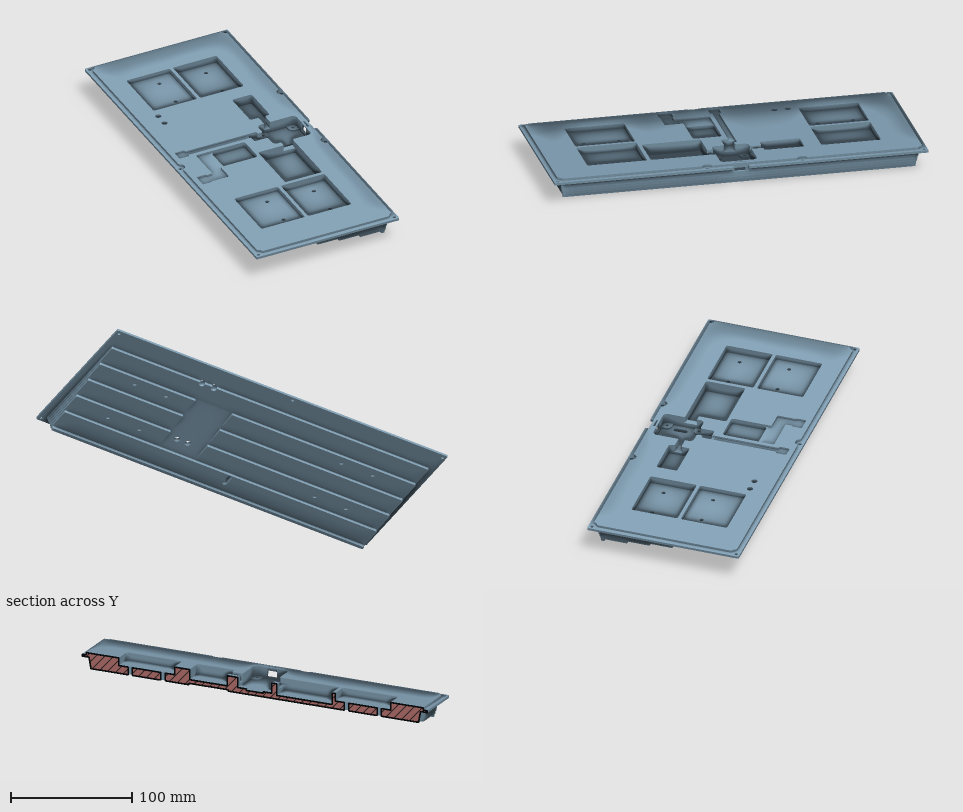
import cadquery as cq

length = 317.2
width = 132.0
total_height = 18.7
rim_thickness = 2.0
lip_height = 2.0
lip_inset = 3.8
top_z = rim_thickness + lip_height
half_length = length / 2
half_width = width / 2
outer_corner_radius = 1.0

step_count = 6
step_height = (total_height - top_z) / step_count
step_run = 20.0
first_step_inset = 6.5
step_inset_growth = 0.55

screw_edge = 3.2
screw_diameter = 2.7
screw_relief_radius = 4.0
relief_blend_radius = 1.5
back_screw_x = (-52.5, 28.5)
front_screw_x = 11.5

bay_length = 50.8
bay_width = 40.3
bay_center_x = 99.3
bay_pitch = 43.0
back_bay_y = 18.7
back_bay_depth = 6.7
front_bay_depth = 4.5
bay_hole_diameter = 3.5
bay_hole_spacing = 30.0
bay_hole_offset = 5.5

square_length = 31.5
square_width = 35.2
square_back_y = 56.8
square_depth = 10.0
square_corner_radius = 3.8
standoff_size = 8.0
standoff_height = 1.3
standoff_inner_radius = 4.5
standoff_hole_diameter = 2.3
standoff_hole_spacing_x = 23.8
standoff_hole_spacing_y = 27.5
floor_slot_x = 9.8
floor_slot_y = 40.5
floor_slot_length = 12.0
floor_slot_width = 4.0
square_y = square_back_y - square_width / 2
square_front_y = square_y - square_width / 2
square_right_x = square_length / 2
square_floor_z = top_z - square_depth

notch_width = 12.7
window_width = 9.2
window_roof = 1.0
window_sill = 1.5
card_slot_front_y = 58.5
card_slot_thickness = 1.5

shared_back_y = 38.7
link_front_y = 28.2
pocket_radius = 1.5
right_pocket_left_x = 20.5
right_pocket_right_x = 70.7
right_pocket_front_y = 4.5
right_pocket_depth = 10.0
right_link_depth = 5.7
left_pocket_left_x = -59.5
left_pocket_right_x = -25.7
left_pocket_front_y = 20.5
left_pocket_depth = 9.0
left_link_back_y = 34.0
left_link_depth = 6.5
mouth_radius = 1.5

recess_left_x = -60.3
recess_width = 35.5
recess_first_step = 2
recess_last_step = 5

cable_hole_diameter = 5.0
left_pocket_hole_x = (-50.0, -40.0)
plate_hole_x = (-65.0, -53.5)
plate_hole_y = -44.7

channel_depth = 2.0
channel_radius = 1.3
channel_left_x = -7.5
channel_right_x = -2.0
channel_end_y = -57.7
bulb_left_x = -9.5
bulb_right_x = 0.0
bulb_back_y = -48.5
exit_neck_left_x = -4.8
exit_right_x = 4.5
exit_neck_y = 16.8
exit_front_y = 9.2
exit_depth = 6.0
middle_left_x = 1.5
middle_right_x = 26.3
middle_back_y = 1.5
middle_front_y = -29.2
middle_depth = 5.5
middle_radius = 2.5
branch_back_y = -33.0
branch_front_y = -43.5
branch_left_x = 32.0
branch_right_x = 42.2
branch_end_left_x = 31.0
branch_end_right_x = 43.0
branch_end_y = -49.2
corner_reach = 0.3
overlap = 3.2


def block(x0, x1, y0, y1, z0, z1):
    """Box given by its limits along each axis."""
    return cq.Workplane("XY").box(x1 - x0, y1 - y0, z1 - z0, centered=False).translate((x0, y0, z0))


def pocket(x0, x1, y0, y1, depth, radius=0.0):
    """Cutter for a pocket sunk from the top face, with optional rounded corners."""
    cutter = block(x0, x1, y0, y1, top_z - depth, top_z)
    if radius:
        cutter = cutter.edges("|Z").fillet(radius)
    return cutter


def hole(x, y, diameter, z0=top_z - total_height, z1=top_z):
    """Cutter for a round vertical hole, through everything by default."""
    return cq.Workplane("XY", origin=(x, y, z0)).circle(diameter / 2).extrude(z1 - z0)


def round_mouths(part, corners):
    """Round the upright edges that reach the top face at the given corners."""
    for x, y in corners:
        low_corner = (x - corner_reach, y - corner_reach, top_z - total_height)
        high_corner = (x + corner_reach, y + corner_reach, top_z)
        near_corner = cq.selectors.BoxSelector(low_corner, high_corner)
        part = part.edges("|Z").edges(near_corner).fillet(mouth_radius)
    return part


def step_front_y(k):
    return -half_width + k * step_run


def edge_screw_points():
    y = half_width - screw_edge
    return [(x, y) for x in back_screw_x] + [(front_screw_x, -y)]


def corner_screw_points():
    x = half_length - screw_edge
    y = half_width - screw_edge
    return [(sx * x, sy * y) for sx in (-1, 1) for sy in (-1, 1)]


def plate():
    rim = block(-half_length, half_length, -half_width, half_width, 0, rim_thickness)
    notch = block(-notch_width / 2, notch_width / 2, half_width - lip_inset, half_width, 0, rim_thickness)
    rim = rim.cut(notch).edges("|Z and (>Y or <Y)").fillet(outer_corner_radius)

    lip_x = half_length - lip_inset
    lip_y = half_width - lip_inset
    lip = block(-lip_x, lip_x, -lip_y, lip_y, rim_thickness, top_z)
    for x, y in edge_screw_points() + corner_screw_points():
        lip = lip.cut(hole(x, y, 2 * screw_relief_radius))
    lip = lip.edges("|Z").fillet(relief_blend_radius)
    return rim.union(lip)


def wedge_step(k):
    inset = first_step_inset + (k - 1) * step_inset_growth
    x = half_length - inset
    step = block(-x, x, step_front_y(k), half_width - inset, -k * step_height, 0)
    return step.edges("|Z").fillet(outer_corner_radius)


def cut_bays(part):
    half_x = bay_length / 2
    half_y = bay_width / 2
    for y, depth in ((back_bay_y, back_bay_depth), (back_bay_y - bay_pitch, front_bay_depth)):
        for x in (-bay_center_x, bay_center_x):
            part = part.cut(pocket(x - half_x, x + half_x, y - half_y, y + half_y, depth, pocket_radius))
            for side in (-1, 1):
                hole_x = x + side * bay_hole_spacing / 2
                part = part.cut(hole(hole_x, y + bay_hole_offset, bay_hole_diameter))
    return part


def standoff(side_x, side_y):
    """Pad in one corner of the square pocket, rounded towards the pocket centre."""
    corner_x = side_x * square_right_x
    corner_y = square_y + side_y * square_width / 2
    inner_x = corner_x - side_x * standoff_size
    inner_y = corner_y - side_y * standoff_size
    pad_top_z = square_floor_z + standoff_height
    left_x, right_x = sorted((corner_x, inner_x))
    low_y, high_y = sorted((corner_y, inner_y))
    pad = block(left_x, right_x, low_y, high_y, square_floor_z, pad_top_z)
    inner_edge = cq.selectors.NearestToPointSelector((inner_x, inner_y, (square_floor_z + pad_top_z) / 2))
    pad = pad.edges(inner_edge).fillet(standoff_inner_radius)
    hole_x = side_x * standoff_hole_spacing_x / 2
    hole_y = square_y + side_y * standoff_hole_spacing_y / 2
    return pad.cut(hole(hole_x, hole_y, standoff_hole_diameter))


def square_pocket_cutter():
    cutter = pocket(-square_right_x, square_right_x, square_front_y, square_back_y,
                    square_depth, square_corner_radius)
    for side_x in (-1, 1):
        for side_y in (-1, 1):
            cutter = cutter.cut(standoff(side_x, side_y))
    return cutter


def cut_square_pocket(part):
    part = part.cut(square_pocket_cutter())
    floor_slot = cq.Workplane("XY").slot2D(floor_slot_length, floor_slot_width, 90).extrude(-total_height)
    part = part.cut(floor_slot.translate((floor_slot_x, floor_slot_y, 0)))

    half_window = window_width / 2
    sill_z = square_floor_z + window_sill
    card_slot_back_y = card_slot_front_y + card_slot_thickness
    window = block(-half_window, half_window, square_back_y - overlap, card_slot_back_y,
                   sill_z, top_z - window_roof)
    card_slot = block(-half_window, half_window, card_slot_front_y, card_slot_back_y, sill_z, top_z)
    return part.cut(window).cut(card_slot)


def cut_side_pockets(part):
    right_pocket = pocket(right_pocket_left_x, right_pocket_right_x, right_pocket_front_y, shared_back_y,
                          right_pocket_depth, pocket_radius)
    right_link = pocket(square_right_x - overlap, right_pocket_left_x + overlap, link_front_y, shared_back_y,
                        right_link_depth)
    left_pocket = pocket(left_pocket_left_x, left_pocket_right_x, left_pocket_front_y, shared_back_y,
                         left_pocket_depth, pocket_radius)
    left_link = pocket(left_pocket_right_x - overlap, overlap - square_right_x,
                       link_front_y, left_link_back_y, left_link_depth)
    part = part.cut(right_pocket).cut(right_link).cut(left_pocket).cut(left_link)
    mouth_corners = [(left_pocket_right_x, link_front_y), (left_pocket_right_x, left_link_back_y),
                     (square_right_x, shared_back_y)]
    return round_mouths(part, mouth_corners)


def cut_sloped_recess(part):
    """Ramp through the inner corners of the steps, with two cable holes up into the left pocket."""
    start_y = step_front_y(recess_first_step)
    end_y = step_front_y(recess_last_step)
    start_z = -(recess_first_step - 1) * step_height
    end_z = -(recess_last_step - 1) * step_height
    ramp = cq.Workplane("YZ", origin=(recess_left_x, 0, 0))
    ramp = ramp.polyline([(start_y, start_z), (end_y, end_z), (start_y, end_z)]).close().extrude(recess_width)
    part = part.cut(ramp)
    for x in left_pocket_hole_x:
        part = part.cut(hole(x, left_pocket_front_y, cable_hole_diameter, z1=top_z - left_pocket_depth))
    return part


def cut_cable_channels(part):
    exit_neck = pocket(exit_neck_left_x, exit_right_x, exit_neck_y - overlap, square_front_y + overlap,
                       exit_depth)
    exit_pocket = pocket(channel_left_x, exit_right_x, exit_front_y, exit_neck_y, exit_depth, channel_radius)
    exit_corner = pocket(channel_right_x, exit_right_x, exit_neck_y - overlap, exit_neck_y, exit_depth)
    channel = pocket(channel_left_x, channel_right_x, bulb_back_y - overlap, exit_front_y + overlap,
                     channel_depth)
    bulb = pocket(bulb_left_x, bulb_right_x, channel_end_y, bulb_back_y, channel_depth, channel_radius)
    part = part.cut(exit_neck).cut(exit_pocket).cut(exit_corner).cut(channel).cut(bulb)
    part = round_mouths(part, [(exit_neck_left_x, square_front_y), (exit_right_x, square_front_y)])

    middle_pocket = pocket(middle_left_x, middle_right_x, middle_front_y, middle_back_y,
                           middle_depth, middle_radius)
    branch_outline = [
        (middle_left_x, middle_front_y + overlap),
        (middle_right_x, middle_front_y + overlap),
        (middle_right_x, branch_back_y),
        (branch_right_x, branch_back_y),
        (branch_right_x, branch_end_y - overlap),
        (branch_left_x, branch_end_y - overlap),
        (branch_left_x, branch_front_y),
        (middle_left_x, branch_front_y),
    ]
    branch = cq.Workplane("XY", origin=(0, 0, top_z)).polyline(branch_outline).close().extrude(-channel_depth)
    branch = branch.edges("|Z").fillet(channel_radius)
    branch_end = pocket(branch_end_left_x, branch_end_right_x, channel_end_y, branch_end_y, channel_depth)
    return part.cut(middle_pocket).cut(branch).cut(branch_end)


result = plate()
for k in range(1, step_count + 1):
    result = result.union(wedge_step(k))
for x, y in edge_screw_points() + corner_screw_points():
    result = result.cut(hole(x, y, screw_diameter))
result = cut_bays(result)
result = cut_square_pocket(result)
result = cut_side_pockets(result)
result = cut_sloped_recess(result)
for x in plate_hole_x:
    result = result.cut(hole(x, plate_hole_y, cable_hole_diameter))
result = cut_cable_channels(result)